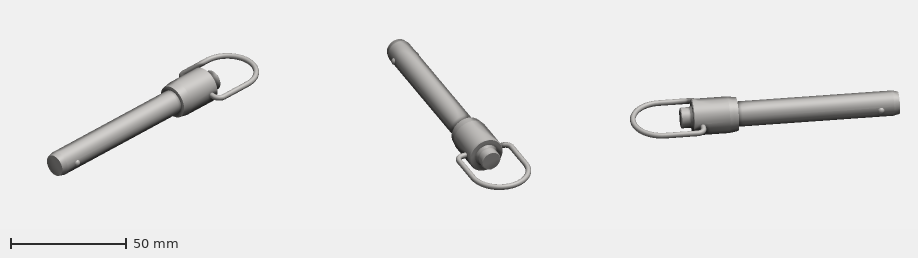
import cadquery as cq

total_length = 117.6
shank_diameter = 11.0
tip_diameter = 9.8
tip_length = 2.6

collar_diameter = 16.0
collar_end_diameter = 14.7
collar_start = 70.8
collar_taper_length = 3.9
collar_end = 90.5
edge_chamfer = 0.4

button_diameter = 9.0
button_base_diameter = 10.5
button_base_height = 1.0
button_end = 95.6

ball_diameter = 3.2
ball_span = 13.2
ball_position = 8.3

ring_width = 27.6
wire_diameter = 2.5
ring_pivot = 86.7
ring_bend_radius = 2.9
ring_embed_depth = 2.4


def make_pin():
    """Shank, handle collar and push button, revolved about Y."""
    shank_radius = shank_diameter / 2
    collar_radius = collar_diameter / 2
    button_radius = button_diameter / 2
    profile = [
        (0, 0),
        (tip_diameter / 2, 0),
        (shank_radius, tip_length),
        (shank_radius, collar_start),
        (collar_end_diameter / 2, collar_start),
        (collar_radius, collar_start + collar_taper_length),
        (collar_radius, collar_end - edge_chamfer),
        (collar_radius - edge_chamfer, collar_end),
        (button_base_diameter / 2, collar_end),
        (button_radius, collar_end + button_base_height),
        (button_radius, button_end - edge_chamfer),
        (button_radius - edge_chamfer, button_end),
        (0, button_end),
    ]
    return cq.Workplane("XY").polyline(profile).close().revolve(360, (0, 0), (0, 1))


def make_ball(side):
    """Locking ball partly sunk in the shank, on the given side of the axis."""
    center_x = side * (ball_span - ball_diameter) / 2
    return cq.Workplane("XY").sphere(ball_diameter / 2).translate((center_x, ball_position, 0))


def make_pull_ring():
    """Round-wire bail whose two bent ends enter the collar."""
    arch_radius = (ring_width - wire_diameter) / 2
    arch_center = total_length - ring_width / 2
    bend_end_x = arch_radius - ring_bend_radius
    bend_top = ring_pivot + ring_bend_radius
    wire_end_x = collar_diameter / 2 - ring_embed_depth
    path = (
        cq.Workplane("XY")
        .moveTo(-wire_end_x, ring_pivot)
        .lineTo(-bend_end_x, ring_pivot)
        .tangentArcPoint((-arch_radius, bend_top), relative=False)
        .lineTo(-arch_radius, arch_center)
        .threePointArc((0, arch_center + arch_radius), (arch_radius, arch_center))
        .lineTo(arch_radius, bend_top)
        .tangentArcPoint((bend_end_x, ring_pivot), relative=False)
        .lineTo(wire_end_x, ring_pivot)
    )
    section = cq.Workplane("YZ", origin=(-wire_end_x, ring_pivot, 0)).circle(wire_diameter / 2)
    return section.sweep(path)


result = make_pin().union(make_pull_ring())
for side in (-1, 1):
    result = result.union(make_ball(side))